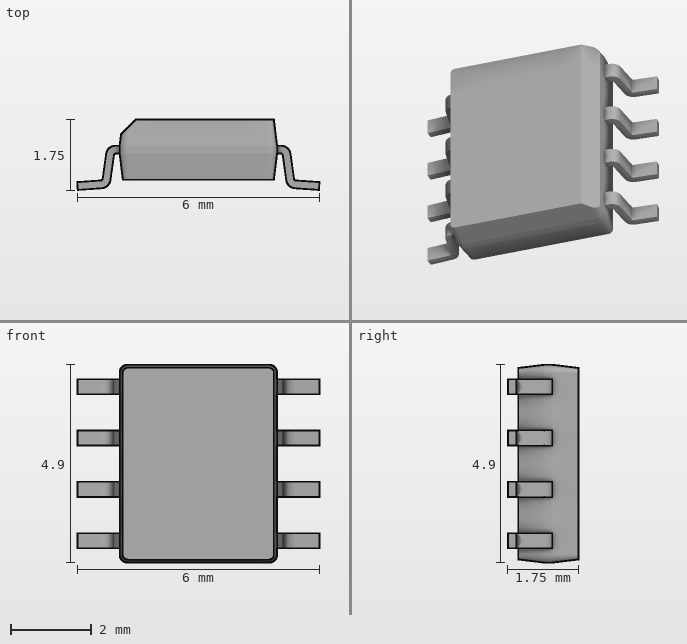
import cadquery as cq
import math

lead_span = 6.0
package_height = 1.75
body_width = 3.9
body_length = 4.9

standoff = 0.25
lead_thickness = 0.2
corner_radius = 0.2
draft_angle = 7.0
bevel_size = 0.37

body_depth = package_height - standoff
taper_depth = (body_depth - lead_thickness) / 2
band_front = standoff + taper_depth
band_back = band_front + lead_thickness

leads_per_side = 4
lead_pitch = 1.27
lead_width = 0.38
shoulder_length = 0.095
leg_angle = 8.0
foot_angle = 4.0
bend_inner = 0.04
bend_outer = bend_inner + lead_thickness


def band_outline(y):
    """Rounded rectangle in the plane at height y, with its normal along +Y."""
    rectangle = cq.Sketch().rect(body_width, body_length).vertices().fillet(corner_radius)
    plane = cq.Plane(origin=(0, y, 0), xDir=(-1, 0, 0), normal=(0, 1, 0))
    return cq.Workplane(plane).placeSketch(rectangle)


def make_body():
    """Moulded body: a straight band with a drafted half on each side and a bevelled edge."""
    band = band_outline(band_front).extrude(lead_thickness)
    back_half = band_outline(band_back).extrude(taper_depth, taper=draft_angle)
    front_half = back_half.mirror("XZ", (0, (band_front + band_back) / 2, 0))
    return band.union(back_half).union(front_half).cut(make_bevel_cutter())


def make_bevel_cutter():
    """Triangular bar that bevels the back -X edge along the full body length."""
    bevel_edge_y = package_height - bevel_size
    draft_inset = (bevel_edge_y - band_back) * math.tan(math.radians(draft_angle))
    bevel_edge_x = -body_width / 2 + draft_inset
    bar = (
        cq.Workplane("XY")
        .moveTo(bevel_edge_x - bevel_size, bevel_edge_y - bevel_size)
        .lineTo(bevel_edge_x + bevel_size, package_height)
        .lineTo(bevel_edge_x + bevel_size, package_height + bevel_size)
        .lineTo(bevel_edge_x - bevel_size, package_height + bevel_size)
        .close()
    )
    return bar.extrude(body_length / 2, both=True)


def polar(centre, radius, angle):
    """Point at the given radius and angle in degrees around a centre."""
    direction = cq.Vector(math.cos(math.radians(angle)), math.sin(math.radians(angle)))
    return centre + direction * radius


def add_bend(profile, centre, radius, start_angle, end_angle):
    """Continue a profile with a straight line to the start of an arc, then the arc."""
    start = polar(centre, radius, start_angle)
    middle = polar(centre, radius, (start_angle + end_angle) / 2)
    end = polar(centre, radius, end_angle)
    return profile.lineTo(start.x, start.y).threePointArc((middle.x, middle.y), (end.x, end.y))


def make_lead(z):
    """Gull-wing lead on the +X side, centred on z, butting against the parting band."""
    origin = cq.Vector(0, 0)
    leg_normal = polar(origin, 1, leg_angle)
    foot_direction = polar(origin, 1, -foot_angle)
    foot_normal = polar(origin, 1, 90 - foot_angle)

    tip_lower = cq.Vector(lead_span / 2 - lead_thickness * foot_normal.x, 0)
    tip_upper = tip_lower + foot_normal * lead_thickness

    shoulder_end = body_width / 2 + shoulder_length
    upper_centre = cq.Vector(shoulder_end, band_back - bend_outer)
    above_tip = tip_lower + foot_normal * bend_outer
    excess = (above_tip - upper_centre).dot(leg_normal) - (bend_outer + bend_inner)
    foot_length = excess / foot_direction.dot(leg_normal)
    lower_centre = above_tip - foot_direction * foot_length

    shoulder_side = 90
    upper_leg_side = leg_angle
    lower_leg_side = 180 + leg_angle
    foot_side = 270 - foot_angle

    profile = cq.Workplane("XY", origin=(0, 0, z)).moveTo(body_width / 2, band_back)
    profile = add_bend(profile, upper_centre, bend_outer, shoulder_side, upper_leg_side)
    profile = add_bend(profile, lower_centre, bend_inner, lower_leg_side, foot_side)
    profile = profile.lineTo(tip_upper.x, tip_upper.y).lineTo(tip_lower.x, tip_lower.y)
    profile = add_bend(profile, lower_centre, bend_outer, foot_side, lower_leg_side)
    profile = add_bend(profile, upper_centre, bend_inner, upper_leg_side, shoulder_side)
    profile = profile.lineTo(body_width / 2, band_front).close()
    return profile.extrude(lead_width / 2, both=True)


body = make_body()

leads = []
for index in range(leads_per_side):
    lead_z = (index - (leads_per_side - 1) / 2) * lead_pitch
    right_lead = make_lead(lead_z)
    leads.append(right_lead.val())
    leads.append(right_lead.mirror("YZ").val())

result = cq.Compound.makeCompound([body.val(), *leads])